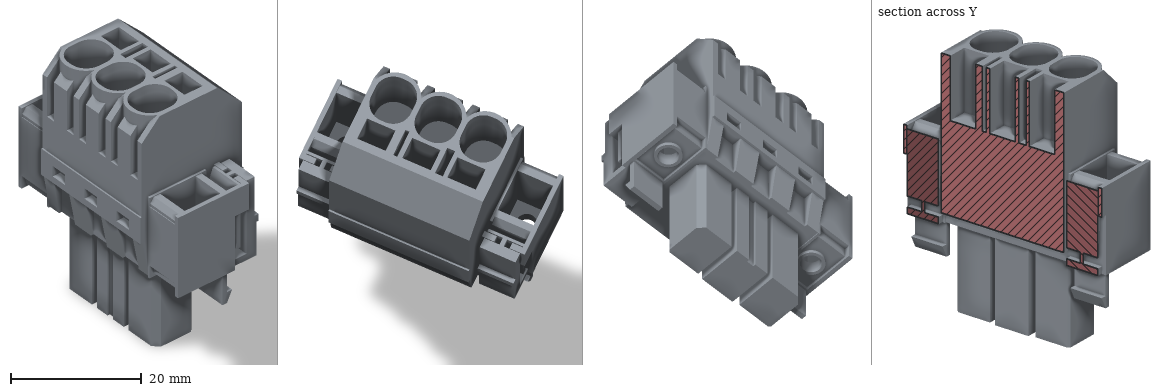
import cadquery as cq

TOTAL_HEIGHT = 44.7
PITCH = 7.6
POLE_OFFSETS = [-PITCH, 0, PITCH]
FLANGE_OFFSET = 2 * PITCH

HOUSING_WIDTH = 23.65
HOUSING_HALF_DEPTH = 10.0
HOUSING_BOTTOM = 15.5
BACK_CHAMFER = 4.95
FRONT_CHAMFER = 3.58
BAND_DEPTH = 20.6
BAND_HALF_DEPTH = BAND_DEPTH / 2
BAND_BOTTOM = 22.25
BAND_TOP = 27.2
SKIRT_TOP_HALF_DEPTH = 9.9
SKIRT_FRONT = -8.65
BACK_SKIRT_BOTTOM = 17.5
BACK_SKIRT_DEPTH = 9.25
BACK_SKIRT_STEP = 2.5

PANEL_TOP_WIDTH = 3.6
PANEL_BOTTOM_WIDTH = 3.85
PANEL_Y = -8.15
WINDOW_WIDTH = 3.0
WINDOW_BOTTOM = 23.45
WINDOW_TOP = 25.45
WINDOW_DEPTH = 1.48

PORT_WIDTH = 6.7
PORT_LENGTH = 7.6
PORT_Y = -4.35
PORT_CORNER_RADIUS = 3.0
COLLAR_RADIUS = 4.05
COLLAR_Y = -4.85
SLOT_FLOOR = 33.7
TOP_DEPTH = TOTAL_HEIGHT - SLOT_FLOOR
SLOT_INNER = 1.5
SLOT_OUTER = 3.17

POCKET_WIDTH = 4.8
POCKET_LENGTH = 3.6
POCKET_Y = 1.88
SLIT_LENGTH = 4.5
SLIT_Y = 1.55
SLITS = [(-3.85, 1.3), (3.55, 0.65)]

PILLAR_WIDTH = 6.45
PILLAR_FRONT = -6.4
MIDDLE_PILLAR_BACK = 1.3
OUTER_PILLAR_BACK = 1.0
PILLAR_FRONT_CHAMFER = 1.07
PILLAR_BACK_CHAMFER = 0.3
KEY_WIDTH = 1.35
KEY_DEPTH = 0.45

OUTER_WALL = 0.75
FLANGE_OUTER = 19.05
FLANGE_INNER = HOUSING_WIDTH / 2
CAVITY_WIDTH = 6.05
CAVITY_OUTER = FLANGE_OUTER - OUTER_WALL
CAVITY_INNER = CAVITY_OUTER - CAVITY_WIDTH
FLANGE_TOP = 30.55
FLANGE_CORE_TOP = 30.4
FLANGE_BOTTOM = 15.35
FLANGE_FRONT = -8.8
FLANGE_BACK = 2.55
FLANGE_FLOOR_BOTTOM = 15.95
FLANGE_FLOOR_TOP = 17.75
FLANGE_CAVITY_FRONT = -6.7
FLANGE_CAVITY_BACK = 0.4
FRONT_NOTCH_Y = -7.9
FRONT_LEDGE_Z = 28.88
FRONT_LEDGE_DEPTH = 0.15
FRONT_SLOPE_FOOT_Z = 29.4
BACK_SLOPE_TOP_Y = 1.55
BACK_SLOPE_HEIGHT = 1.25
SCREW_Y = -3.65
SCREW_RADIUS = 1.65
SCREW_BOSS_RADIUS = 2.2

ARM_FRONT = 4.43
ARM_BACK = 5.4
ARM_BOTTOM = 25.55
ARM_GAP_HALF_WIDTH = 1.3

PLATE_FRONT = 5.5
PLATE_TOP_BACK = 7.15
PLATE_LOW_BACK = 7.45
GRIP_BACK = 7.9
GRIP_TOP = 23.15
GRIP_BOTTOM = 21.8
FOOT_BOTTOM = 15.45
FOOT_TOP = 16.67
TAB_FRONT = 0.7
TAB_BACK = 1.6
TAB_BOTTOM = 9.15
HOOK_TIP = 2.65
HOOK_TOP = 11.25
WEDGE_BACK = 4.3
WEDGE_TOP_FRONT = 3.85
WEDGE_NOSE = 2.95
WEDGE_NOSE_Z = 28.05
WEDGE_FOOT_FRONT = 3.55
WEDGE_BOTTOM = 18.45
WEB_WIDTH = 0.7


def box(x_range, y_range, z_range):
    """Box spanning the given (low, high) ranges."""
    spans = [sorted(r) for r in (x_range, y_range, z_range)]
    sizes = [high - low for low, high in spans]
    corner = [low for low, high in spans]
    return cq.Workplane("XY").box(*sizes, centered=False).translate(tuple(corner))


def extrude_along_x(profile, x_low, x_high):
    """Closed (y, z) profile extruded between two X positions."""
    return cq.Workplane("YZ", origin=(x_low, 0, 0)).polyline(profile).close().extrude(x_high - x_low)


def make_block():
    """Housing block with chamfered top, raised band and tapered skirt."""
    d = HOUSING_HALF_DEPTH
    profile = [
        (SKIRT_FRONT, HOUSING_BOTTOM),
        (-SKIRT_TOP_HALF_DEPTH, BAND_BOTTOM),
        (-BAND_HALF_DEPTH, BAND_BOTTOM),
        (-BAND_HALF_DEPTH, BAND_TOP),
        (-d, BAND_TOP),
        (-d, TOTAL_HEIGHT - FRONT_CHAMFER),
        (-d + FRONT_CHAMFER, TOTAL_HEIGHT),
        (d - BACK_CHAMFER, TOTAL_HEIGHT),
        (d, TOTAL_HEIGHT - BACK_CHAMFER),
        (d, BAND_TOP),
        (BAND_HALF_DEPTH, BAND_TOP),
        (BAND_HALF_DEPTH, BAND_BOTTOM),
        (SKIRT_TOP_HALF_DEPTH, BAND_BOTTOM),
        (BACK_SKIRT_DEPTH, BACK_SKIRT_BOTTOM),
        (BACK_SKIRT_STEP, BACK_SKIRT_BOTTOM),
        (BACK_SKIRT_STEP, HOUSING_BOTTOM),
    ]
    return extrude_along_x(profile, -HOUSING_WIDTH / 2, HOUSING_WIDTH / 2)


def make_collar(x):
    """Round collar around one wire port."""
    return cq.Workplane("XY", origin=(x, COLLAR_Y, SLOT_FLOOR)).circle(COLLAR_RADIUS).extrude(TOP_DEPTH)


def make_collar_slots(x):
    """Pair of slots in the front that lay the two sides of a collar bare."""
    y_range = (-HOUSING_HALF_DEPTH, COLLAR_Y)
    z_range = (SLOT_FLOOR, TOTAL_HEIGHT)
    left = box((x - SLOT_OUTER, x - SLOT_INNER), y_range, z_range)
    right = box((x + SLOT_INNER, x + SLOT_OUTER), y_range, z_range)
    return left.union(right)


def make_port(x):
    """Wire port opening with widely rounded corners."""
    return (
        cq.Workplane("XY", origin=(x, PORT_Y, SLOT_FLOOR))
        .rect(PORT_WIDTH, PORT_LENGTH)
        .extrude(TOP_DEPTH)
        .edges("|Z")
        .fillet(PORT_CORNER_RADIUS)
    )


def make_top_opening(x, y, width, length):
    """Rectangular opening sunk into the top face."""
    return cq.Workplane("XY", origin=(x, y, SLOT_FLOOR)).rect(width, length).extrude(TOP_DEPTH)


def make_skirt_recess(x):
    """Recess in the skirt below the band, slightly wider at its lower end."""
    top = PANEL_TOP_WIDTH / 2
    bottom = PANEL_BOTTOM_WIDTH / 2
    outline = [
        (x - bottom, HOUSING_BOTTOM),
        (x + bottom, HOUSING_BOTTOM),
        (x + top, BAND_BOTTOM),
        (x - top, BAND_BOTTOM),
    ]
    depth = BAND_HALF_DEPTH + PANEL_Y
    return cq.Workplane("XZ", origin=(0, PANEL_Y, 0)).polyline(outline).close().extrude(depth)


def make_window(x):
    """Test window in the front of the band."""
    return box(
        (x - WINDOW_WIDTH / 2, x + WINDOW_WIDTH / 2),
        (-BAND_HALF_DEPTH, -BAND_HALF_DEPTH + WINDOW_DEPTH),
        (WINDOW_BOTTOM, WINDOW_TOP),
    )


def make_pillar(x, back):
    """Plain square pillar below the housing block."""
    return box((x - PILLAR_WIDTH / 2, x + PILLAR_WIDTH / 2), (PILLAR_FRONT, back), (0, HOUSING_BOTTOM))


def make_outer_pillar(x):
    """Pillar whose outer corners are chamfered."""
    outer = "<X" if x < 0 else ">X"
    return (
        make_pillar(x, OUTER_PILLAR_BACK)
        .faces(outer).edges("|Z and <Y").chamfer(PILLAR_FRONT_CHAMFER)
        .faces(outer).edges("|Z and >Y").chamfer(PILLAR_BACK_CHAMFER)
    )


def make_middle_pillar():
    """Pillar with a key groove down its front."""
    groove = box(
        (-KEY_WIDTH / 2, KEY_WIDTH / 2), (PILLAR_FRONT, PILLAR_FRONT + KEY_DEPTH), (0, HOUSING_BOTTOM)
    )
    return make_pillar(0, MIDDLE_PILLAR_BACK).cut(groove)


def make_flange_core():
    """Floor, front wall and back wall of the +X flange box, between its side walls."""
    ledge_y = FLANGE_FRONT + FRONT_LEDGE_DEPTH
    profile = [
        (TAB_FRONT, FLANGE_BOTTOM),
        (FLANGE_CAVITY_BACK, FLANGE_BOTTOM),
        (FLANGE_CAVITY_BACK, FLANGE_FLOOR_BOTTOM),
        (FRONT_NOTCH_Y, FLANGE_FLOOR_BOTTOM),
        (FRONT_NOTCH_Y, FLANGE_FLOOR_TOP),
        (FLANGE_FRONT, FLANGE_FLOOR_TOP),
        (FLANGE_FRONT, FRONT_LEDGE_Z),
        (ledge_y, FRONT_LEDGE_Z),
        (ledge_y, FRONT_SLOPE_FOOT_Z),
        (FRONT_NOTCH_Y, FLANGE_CORE_TOP),
        (BACK_SLOPE_TOP_Y, FLANGE_CORE_TOP),
        (FLANGE_BACK, FLANGE_CORE_TOP - BACK_SLOPE_HEIGHT),
        (FLANGE_BACK, FOOT_TOP),
        (TAB_FRONT, FOOT_TOP),
    ]
    cavity = box(
        (CAVITY_INNER, CAVITY_OUTER),
        (FLANGE_CAVITY_FRONT, FLANGE_CAVITY_BACK),
        (FLANGE_FLOOR_TOP, FLANGE_TOP),
    )
    return extrude_along_x(profile, CAVITY_INNER, CAVITY_OUTER).cut(cavity)


def make_flange_walls():
    """Side walls of the +X flange box and the two guide arms behind it."""
    wall_y = (FLANGE_FRONT, FLANGE_BACK)
    wall_z = (FLANGE_BOTTOM, FLANGE_TOP)
    arm_y = (ARM_FRONT, ARM_BACK)
    arm_z = (ARM_BOTTOM, FLANGE_TOP)
    return [
        box((CAVITY_OUTER, FLANGE_OUTER), wall_y, wall_z),
        box((FLANGE_INNER, CAVITY_INNER), wall_y, wall_z),
        box((CAVITY_OUTER, FLANGE_OUTER), (FLANGE_BACK, ARM_BACK), arm_z),
        box((FLANGE_OFFSET + ARM_GAP_HALF_WIDTH, FLANGE_OUTER), arm_y, arm_z),
        box((FLANGE_INNER, FLANGE_OFFSET - ARM_GAP_HALF_WIDTH), arm_y, arm_z),
    ]


def make_flange():
    """Open flange box on the +X side of the housing, with its screw boss and hole."""
    flange = make_flange_core()
    for wall in make_flange_walls():
        flange = flange.union(wall)
    boss_base = cq.Workplane("XY", origin=(FLANGE_OFFSET, SCREW_Y, FLANGE_BOTTOM))
    boss_height = FLANGE_FLOOR_TOP - FLANGE_BOTTOM
    boss = boss_base.circle(SCREW_BOSS_RADIUS).extrude(boss_height)
    hole = boss_base.circle(SCREW_RADIUS).extrude(boss_height)
    return flange.union(boss).cut(hole)


def make_housing():
    """Housing block, pillars and both flange boxes in one piece."""
    housing = make_block()
    for x in POLE_OFFSETS:
        housing = housing.cut(make_collar_slots(x))
    for x in POLE_OFFSETS:
        housing = housing.union(make_collar(x))
    for x in POLE_OFFSETS:
        housing = (
            housing.cut(make_port(x))
            .cut(make_top_opening(x, POCKET_Y, POCKET_WIDTH, POCKET_LENGTH))
            .cut(make_window(x))
            .cut(make_skirt_recess(x))
        )
    for x, width in SLITS:
        housing = housing.cut(make_top_opening(x, SLIT_Y, width, SLIT_LENGTH))
    for pillar in (make_outer_pillar(-PITCH), make_middle_pillar(), make_outer_pillar(PITCH)):
        housing = housing.union(pillar)
    flange = make_flange()
    return housing.union(flange).union(flange.mirror("YZ"))


def make_latch():
    """Latch on the +X side: grip plate, foot and hooked tab, with a wedge held on a central web."""
    bent_profile = [
        (PLATE_FRONT, FLANGE_TOP),
        (PLATE_TOP_BACK, FLANGE_TOP),
        (PLATE_TOP_BACK, GRIP_TOP),
        (GRIP_BACK, GRIP_TOP),
        (GRIP_BACK, GRIP_BOTTOM),
        (PLATE_LOW_BACK, GRIP_BOTTOM),
        (PLATE_LOW_BACK, FOOT_BOTTOM),
        (TAB_BACK, FOOT_BOTTOM),
        (TAB_BACK, HOOK_TOP),
        (HOOK_TIP, HOOK_TOP),
        (TAB_BACK, TAB_BOTTOM),
        (TAB_FRONT, TAB_BOTTOM),
        (TAB_FRONT, FOOT_TOP),
        (PLATE_FRONT, FOOT_TOP),
    ]
    wedge_profile = [
        (WEDGE_BACK, FLANGE_TOP),
        (WEDGE_TOP_FRONT, FLANGE_TOP),
        (WEDGE_NOSE, WEDGE_NOSE_Z),
        (WEDGE_FOOT_FRONT, WEDGE_BOTTOM),
        (WEDGE_BACK, WEDGE_BOTTOM),
    ]
    bent_strip = extrude_along_x(bent_profile, CAVITY_INNER, CAVITY_OUTER)
    wedge = extrude_along_x(wedge_profile, CAVITY_INNER, CAVITY_OUTER)
    web_range = (FLANGE_OFFSET - WEB_WIDTH / 2, FLANGE_OFFSET + WEB_WIDTH / 2)
    upper_web = box(web_range, (WEDGE_BACK, PLATE_FRONT), (WEDGE_BOTTOM, FLANGE_TOP))
    lower_web = box(web_range, (WEDGE_FOOT_FRONT, PLATE_FRONT), (FOOT_TOP, WEDGE_BOTTOM))
    return bent_strip.union(wedge).union(upper_web).union(lower_web)


housing = make_housing()
right_latch = make_latch()
latches = [right_latch.mirror("YZ"), right_latch]

result = cq.Compound.makeCompound([housing.solids().val(), *[latch.solids().val() for latch in latches]])